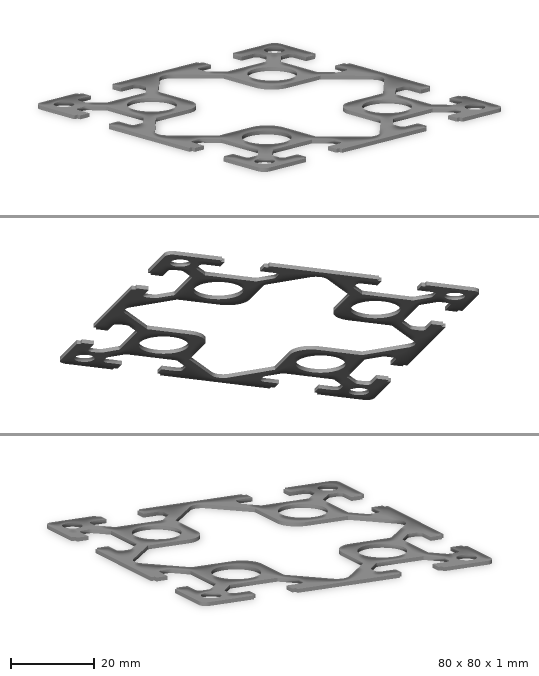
import cadquery as cq
import math

SIDE = 80.0
THICKNESS = 1.0
CORNER_RADIUS = 2.0

HALF_SIDE = SIDE / 2
CELL_CENTRE = SIDE / 4

MOUTH_HALF = 5.0
LIP_DEPTH = 4.0
CHAMBER_HALF = 10.1
CHAMBER_RADIUS = 1.2
FLOOR_HALF = 6.5
FLOOR_DEPTH = 11.0
NOTCH_SIZE = 1.0

DIAMOND_REACH = 38.2
DIAMOND_TIP_RADIUS = 3.0
BOSS_INNER = 10.9
BOSS_RADIUS = 5.4

CORE_DIAMETER = 12.0
CORNER_HOLE_DIAMETER = 5.0
CORNER_HOLE_INSET = 5.0


def plate():
    """Plain square plate with rounded corners."""
    blank = cq.Workplane("XY").rect(SIDE, SIDE).extrude(THICKNESS)
    return blank.edges("|Z").fillet(CORNER_RADIUS)


def diamond():
    """Cutter for the central cavity, with its tips on the X and Y axes."""
    edge = DIAMOND_REACH * math.sqrt(2)
    square = cq.Workplane("XY").rect(edge, edge).extrude(THICKNESS)
    return square.edges("|Z").fillet(DIAMOND_TIP_RADIUS).rotate((0, 0, 0), (0, 0, 1), 45)


def boss():
    """Square boss in the +X +Y quadrant, rounded at the corner facing the plate centre."""
    size = HALF_SIDE - FLOOR_DEPTH - BOSS_INNER
    block = cq.Workplane("XY").rect(size, size, centered=False).extrude(THICKNESS)
    rounded = block.edges("|Z").edges("<(1, 1, 0)").fillet(BOSS_RADIUS)
    return rounded.translate((BOSS_INNER, BOSS_INNER, 0))


def slot():
    """Cutter for a T-slot opening to +Y, centred on X = 0."""
    lip = HALF_SIDE - LIP_DEPTH
    floor = HALF_SIDE - FLOOR_DEPTH
    shoulder = floor + CHAMBER_HALF - FLOOR_HALF
    chamber = (
        cq.Workplane("XY")
        .polyline([
            (-CHAMBER_HALF, lip),
            (-CHAMBER_HALF, shoulder),
            (-FLOOR_HALF, floor),
            (FLOOR_HALF, floor),
            (CHAMBER_HALF, shoulder),
            (CHAMBER_HALF, lip),
        ])
        .close()
        .extrude(THICKNESS)
        .edges("|Z and (<X or >X)")
        .fillet(CHAMBER_RADIUS)
    )
    mouth = (
        cq.Workplane("XY")
        .center(0, (HALF_SIDE + floor) / 2)
        .rect(2 * MOUTH_HALF, FLOOR_DEPTH)
        .extrude(THICKNESS)
    )
    notches = (
        cq.Workplane("XY")
        .pushPoints([(-MOUTH_HALF, HALF_SIDE), (MOUTH_HALF, HALF_SIDE)])
        .rect(2 * NOTCH_SIZE, 2 * NOTCH_SIZE)
        .extrude(THICKNESS)
    )
    return chamber.union(mouth).union(notches)


def quadrant_holes(diameter, offset):
    """Cutters for one hole per quadrant, at the same offset from both centre lines."""
    return (
        cq.Workplane("XY")
        .rect(2 * offset, 2 * offset, forConstruction=True)
        .vertices()
        .circle(diameter / 2)
        .extrude(THICKNESS)
    )


def four_turns(body):
    """Copies of the body at each quarter turn about the plate centre."""
    return [body.rotate((0, 0, 0), (0, 0, 1), 90 * turn) for turn in range(4)]


result = plate().cut(diamond())

for quadrant_boss in four_turns(boss()):
    result = result.union(quadrant_boss)

for slot_x in (-CELL_CENTRE, CELL_CENTRE):
    for side_slot in four_turns(slot().translate((slot_x, 0, 0))):
        result = result.cut(side_slot)

result = result.cut(quadrant_holes(CORE_DIAMETER, CELL_CENTRE))
result = result.cut(quadrant_holes(CORNER_HOLE_DIAMETER, HALF_SIDE - CORNER_HOLE_INSET))